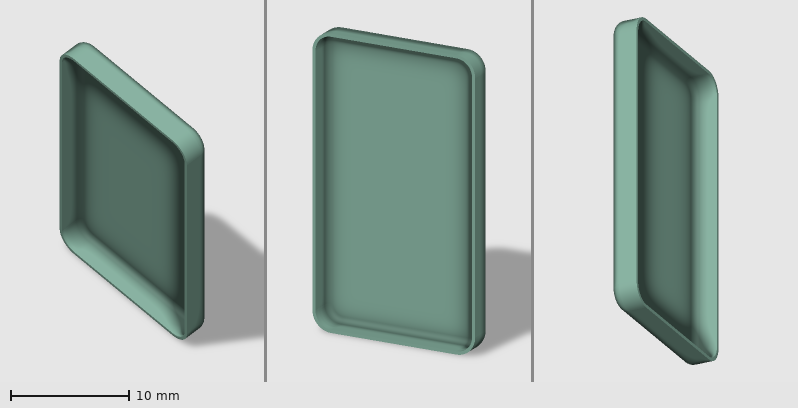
import cadquery as cq

width = 15.6
depth = 2.5
height = 26.8

wall = 0.3
corner_radius = 1.8
edge_radius = 0.8


def rounded_block(inset, back_y):
    """Block from the open face to back_y, inset from the outline, with a rounded back edge."""
    return (
        cq.Workplane("XZ")
        .rect(width - 2 * inset, height - 2 * inset)
        .extrude(-back_y)
        .edges("|Y")
        .fillet(corner_radius - inset)
        .faces(">Y")
        .edges()
        .fillet(edge_radius - inset)
    )


shell = rounded_block(0, depth)
cavity = rounded_block(wall, depth - wall)

result = shell.cut(cavity)